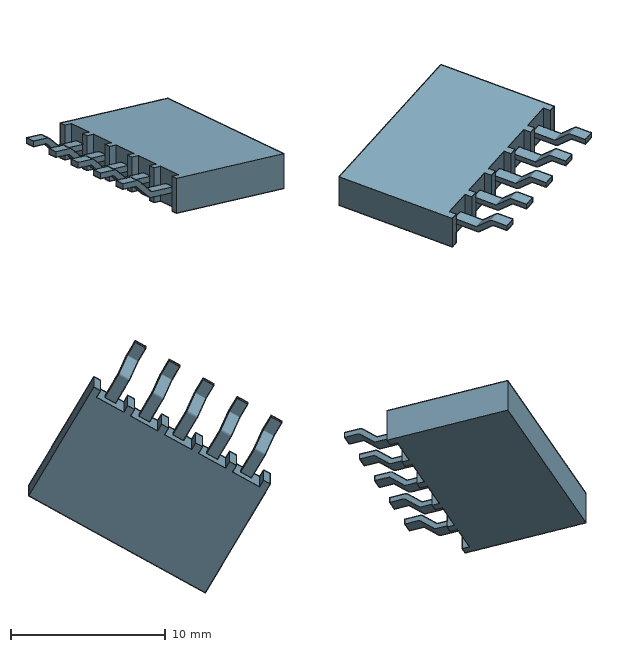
import cadquery as cq
import math

lead_count = 5
housing_width = 13.21
housing_height = 2.4
housing_length = 8.5
rib_width = 0.52
rib_depth = 0.52
lead_pitch = (housing_width - rib_width) / lead_count

overall_length = 11.94
lead_width = 0.8
lead_thickness = 0.4
tip_top_length = 1.19
root_top_length = 1.68
outer_bend_radius = 0.24
inner_bend_radius = 0.08

recess_y = rib_depth
tip_y = housing_length - overall_length
root_bottom_z = (housing_height - lead_thickness) / 2
root_top_z = root_bottom_z + lead_thickness
tip_bottom_z = housing_height - lead_thickness
lead_positions = [(i - (lead_count - 1) / 2) * lead_pitch for i in range(lead_count)]

upper_bend_y = tip_y + tip_top_length
lower_bend_y = recess_y - root_top_length
bend_angle = math.atan2(housing_height - root_top_z, lower_bend_y - upper_bend_y)
underside_shift = lead_thickness * math.tan(bend_angle / 2)


def make_housing():
    block = cq.Workplane("XY").box(
        housing_width, housing_length, housing_height, centered=(True, False, False)
    )
    recesses = (
        cq.Workplane("XY")
        .pushPoints([(x, recess_y / 2) for x in lead_positions])
        .rect(lead_pitch - rib_width, rib_depth)
        .extrude(housing_height)
    )
    return block.cut(recesses)


def round_bends(strip, x, bends, radius):
    for y, z in bends:
        strip = strip.edges(cq.NearestToPointSelector((x, y, z))).fillet(radius)
    return strip


def make_lead(x):
    lower_outer_bend = (lower_bend_y - underside_shift, root_bottom_z)
    upper_inner_bend = (upper_bend_y - underside_shift, tip_bottom_z)
    upper_outer_bend = (upper_bend_y, housing_height)
    lower_inner_bend = (lower_bend_y, root_top_z)
    side_outline = [
        (recess_y, root_bottom_z),
        lower_outer_bend,
        upper_inner_bend,
        (tip_y, tip_bottom_z),
        (tip_y, housing_height),
        upper_outer_bend,
        lower_inner_bend,
        (recess_y, root_top_z),
    ]
    strip = (
        cq.Workplane("YZ", origin=(x - lead_width / 2, 0, 0))
        .polyline(side_outline)
        .close()
        .extrude(lead_width)
    )
    strip = round_bends(strip, x, [lower_outer_bend, upper_outer_bend], outer_bend_radius)
    return round_bends(strip, x, [upper_inner_bend, lower_inner_bend], inner_bend_radius)


result = make_housing()
for lead_x in lead_positions:
    result = result.union(make_lead(lead_x))